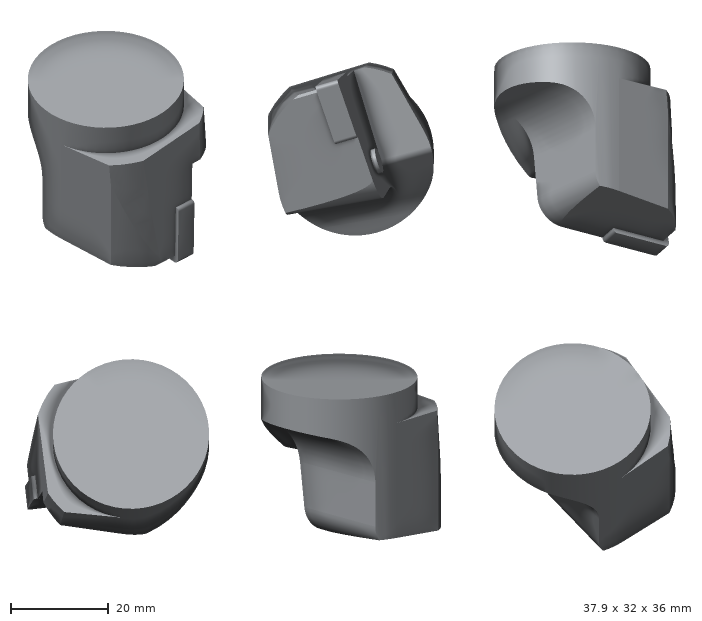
import cadquery as cq
import math

DISC_RADIUS = 16.0

HEAD_TOP = -6.63
HEAD_DEPTH = 41.65
CONE_TOP_RADIUS = 20.05
CONE_HALF_ANGLE = 3.3
FRONT_FLAT_END = 12.55
CORNER_RADIUS = 18.35
REAR_TANGENT_ANGLE = 70.0

LEG_X = -5.25
RELIEF_RADIUS = 10.22
RELIEF_CENTER_Z = -18.3
RELIEF_ROOF_ANGLE = 15.0
HEEL_Z = -27.75
HEEL_RADIUS = 5.65

GULLET_SLOPE_ANGLE = 40.0
GULLET_ROOF_ANGLE = 7.0
GULLET_ROOF_TILT = 6.6
GULLET_CORNER_X = 0.55
GULLET_CORNER_Y = 11.75
GULLET_FRONT_Y = -3.8
GULLET_NOSE_RADIUS = 1.9

TIP = (21.95, 0.0, -36.1)
RAKE_NORMAL = cq.Vector(0.14, 1.0, -0.128)
EDGE_DIRECTION = cq.Vector(-1.0, 0.15, 0.078)
INSERT_SIDE = 12.9
INSERT_ANGLE = 80.0
INSERT_THICKNESS = 4.77
INSERT_CORNER_RADIUS = 0.8

BOTTOM_OVERHANG = 1.0
SIDE_OVERHANG = 0.8
TIP_CHAMFER = 0.55

STUD_RADIUS = 2.58
STUD_HEIGHT = 1.0
STUD_X = 1.9
STUD_Z = -24.88

REACH = 75.75


def sine(angle):
    return math.sin(math.radians(angle))


def cosine(angle):
    return math.cos(math.radians(angle))


def tangent(angle):
    return math.tan(math.radians(angle))


RAKE_PLANE = cq.Plane(origin=TIP, xDir=EDGE_DIRECTION, normal=RAKE_NORMAL)
RELIEF_CENTER_X = LEG_X - RELIEF_RADIUS


def relief_point(angle):
    """Point on the relief arc, by its angle from straight up."""
    return (
        RELIEF_CENTER_X + RELIEF_RADIUS * sine(angle),
        RELIEF_CENTER_Z + RELIEF_RADIUS * cosine(angle),
    )


def roof_start():
    """Outer end of the sloped roof line, clear of the disc."""
    x, z = relief_point(RELIEF_ROOF_ANGLE)
    return (-REACH, z + (x + REACH) * tangent(RELIEF_ROOF_ANGLE))


def make_disc_and_leg():
    return cq.Workplane("XY").circle(DISC_RADIUS).extrude(-HEAD_DEPTH)


def make_head():
    """Bulge outline, limited by a cone about the disc axis."""
    half_chord = math.sqrt(CORNER_RADIUS**2 - DISC_RADIUS**2)
    corner_center_x = FRONT_FLAT_END - half_chord
    corner_end_x = corner_center_x + CORNER_RADIUS
    corner_mid = (corner_center_x + CORNER_RADIUS * cosine(45), -CORNER_RADIUS * sine(45))
    rear_x = DISC_RADIUS * cosine(REAR_TANGENT_ANGLE)
    rear_y = DISC_RADIUS * sine(REAR_TANGENT_ANGLE)
    rear_end_y = rear_y - (corner_end_x - rear_x) / tangent(REAR_TANGENT_ANGLE)
    bulge = (
        cq.Workplane("XY", origin=(0, 0, HEAD_TOP))
        .moveTo(0, -DISC_RADIUS)
        .lineTo(FRONT_FLAT_END, -DISC_RADIUS)
        .threePointArc(corner_mid, (corner_end_x, 0))
        .lineTo(corner_end_x, rear_end_y)
        .lineTo(rear_x, rear_y)
        .lineTo(0, 0)
        .close()
        .extrude(-HEAD_DEPTH)
    )
    cone = (
        cq.Workplane("XY", origin=(0, 0, HEAD_TOP))
        .circle(CONE_TOP_RADIUS)
        .extrude(-HEAD_DEPTH, taper=-CONE_HALF_ANGLE)
    )
    return bulge.intersect(cone)


def make_relief():
    """Space under the disc and beside the leg, including the rounded heel."""
    heel_mid = (LEG_X + HEEL_RADIUS * (1 - cosine(45)), HEEL_Z - HEEL_RADIUS * sine(45))
    heel_end = (LEG_X + HEEL_RADIUS, HEEL_Z - HEEL_RADIUS)
    return (
        cq.Workplane("XZ")
        .moveTo(*roof_start())
        .lineTo(*relief_point(RELIEF_ROOF_ANGLE))
        .threePointArc(relief_point(60), (LEG_X, RELIEF_CENTER_Z))
        .lineTo(LEG_X, HEEL_Z)
        .threePointArc(heel_mid, heel_end)
        .lineTo(heel_end[0], -REACH)
        .lineTo(-REACH, -REACH)
        .close()
        .extrude(REACH, both=True)
    )


def make_gullet():
    """Space in front of the rake plane, below a sloped roof with a rounded nose."""
    slope_start = relief_point(GULLET_SLOPE_ANGLE)
    arc_mid = relief_point((RELIEF_ROOF_ANGLE + GULLET_SLOPE_ANGLE) / 2)
    corner_z = slope_start[1] - (GULLET_CORNER_X - slope_start[0]) * tangent(GULLET_SLOPE_ANGLE)
    slope_foot_x = slope_start[0] + REACH / tangent(GULLET_SLOPE_ANGLE)
    beyond_slope = (
        cq.Workplane("XZ")
        .moveTo(*roof_start())
        .lineTo(*relief_point(RELIEF_ROOF_ANGLE))
        .threePointArc(arc_mid, slope_start)
        .lineTo(slope_foot_x, slope_start[1] - REACH)
        .lineTo(-REACH, slope_start[1] - REACH)
        .close()
        .extrude(REACH, both=True)
    )
    corner = (GULLET_CORNER_X, GULLET_CORNER_Y, corner_z)
    roof_normal = cq.Vector(-tangent(GULLET_ROOF_ANGLE), tangent(GULLET_ROOF_TILT), 1)
    roof_plane = cq.Plane(origin=corner, xDir=(1, 0, tangent(GULLET_ROOF_ANGLE)), normal=roof_normal)
    below_roof = (
        cq.Workplane(roof_plane)
        .rect(2 * REACH, 2 * REACH)
        .extrude(-2 * REACH)
    )
    slab_depth = 2 * (GULLET_CORNER_Y - GULLET_FRONT_Y)
    rear_slab = (
        cq.Workplane("XZ", origin=(0, GULLET_FRONT_Y, 0))
        .rect(2 * REACH, 2 * REACH)
        .extrude(-slab_depth)
    )
    room = (
        below_roof
        .union(beyond_slope)
        .intersect(rear_slab)
        .edges(cq.selectors.NearestToPointSelector(corner))
        .fillet(GULLET_NOSE_RADIUS)
    )
    before_rake = cq.Workplane(RAKE_PLANE).rect(2 * REACH, 2 * REACH).extrude(REACH)
    return room.intersect(before_rake)


def make_clearance_limit():
    """Space behind the two clearance faces and the small chamfer between them."""
    corner_x = (SIDE_OVERHANG + BOTTOM_OVERHANG * cosine(INSERT_ANGLE)) / sine(INSERT_ANGLE)
    return (
        cq.Workplane(RAKE_PLANE)
        .moveTo(corner_x + TIP_CHAMFER, BOTTOM_OVERHANG)
        .lineTo(REACH, BOTTOM_OVERHANG)
        .lineTo(REACH, REACH)
        .lineTo(corner_x + REACH / tangent(INSERT_ANGLE), BOTTOM_OVERHANG + REACH)
        .lineTo(
            corner_x + TIP_CHAMFER * cosine(INSERT_ANGLE),
            BOTTOM_OVERHANG + TIP_CHAMFER * sine(INSERT_ANGLE),
        )
        .close()
        .extrude(REACH, both=True)
    )


def make_insert():
    rise_x = INSERT_SIDE * cosine(INSERT_ANGLE)
    rise_y = INSERT_SIDE * sine(INSERT_ANGLE)
    return (
        cq.Workplane(RAKE_PLANE)
        .polyline([(0, 0), (INSERT_SIDE, 0), (INSERT_SIDE + rise_x, rise_y), (rise_x, rise_y)])
        .close()
        .extrude(-INSERT_THICKNESS)
        .edges(cq.selectors.ParallelDirSelector(RAKE_NORMAL))
        .fillet(INSERT_CORNER_RADIUS)
    )


def make_stud():
    run_x = STUD_X - TIP[0]
    run_z = STUD_Z - TIP[2]
    center_y = TIP[1] - (RAKE_NORMAL.x * run_x + RAKE_NORMAL.z * run_z) / RAKE_NORMAL.y
    foot = cq.Plane(origin=(STUD_X, center_y, STUD_Z), xDir=EDGE_DIRECTION, normal=RAKE_NORMAL)
    return cq.Workplane(foot).circle(STUD_RADIUS).extrude(STUD_HEIGHT)


def make_holder(insert):
    """Cutting head with a seat that matches the insert."""
    return (
        make_disc_and_leg()
        .union(make_head())
        .cut(make_relief())
        .cut(make_gullet())
        .intersect(make_clearance_limit())
        .union(make_stud())
        .cut(insert)
    )


insert = make_insert()
holder = make_holder(insert)
result = cq.Compound.makeCompound([*holder.solids().vals(), insert.val()])